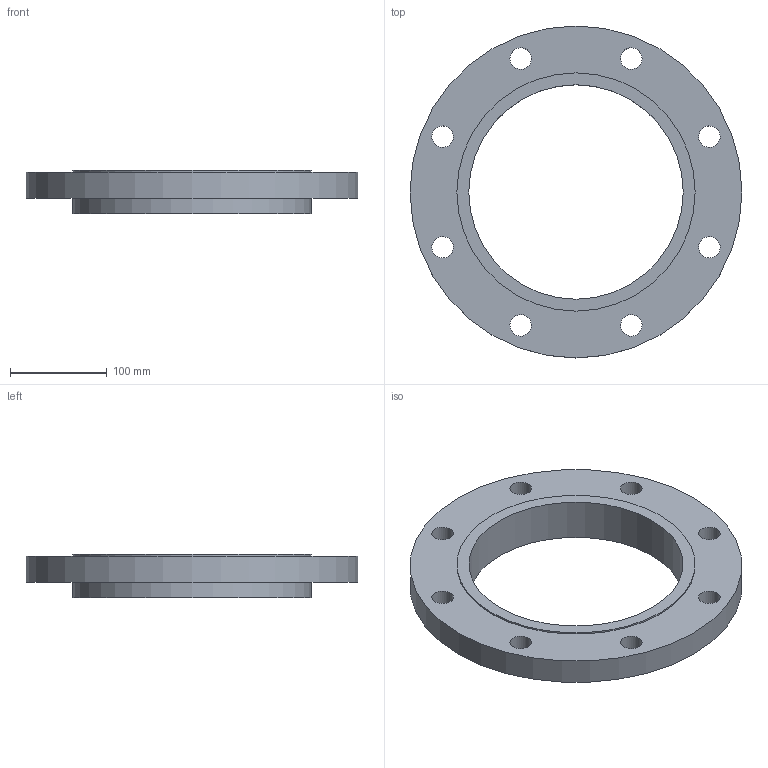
import cadquery as cq

flange_diameter = 342.9
hub_diameter = 246.1
raised_face_diameter = hub_diameter
bore_diameter = 221.5

total_height = 44.45
raised_face_height = 1.6
flange_thickness = 26.9
hub_height = total_height - flange_thickness - raised_face_height

bolt_count = 8
bolt_circle_diameter = 298.45
bolt_hole_diameter = 22.2
first_bolt_angle = 180 / bolt_count


def disc(diameter, height, base_z):
    """Solid disc on the Z axis, standing on the level base_z."""
    return cq.Workplane("XY", origin=(0, 0, base_z)).circle(diameter / 2).extrude(height)


def bolt_holes():
    """Cylinders that cut the ring of bolt holes through the full height."""
    return (
        cq.Workplane("XY")
        .polarArray(bolt_circle_diameter / 2, first_bolt_angle, 360, bolt_count)
        .circle(bolt_hole_diameter / 2)
        .extrude(total_height)
    )


hub = disc(hub_diameter, hub_height, 0)
flange = disc(flange_diameter, flange_thickness, hub_height)
raised_face = disc(raised_face_diameter, raised_face_height, hub_height + flange_thickness)
bore = disc(bore_diameter, total_height, 0)

result = hub.union(flange).union(raised_face).cut(bore).cut(bolt_holes())